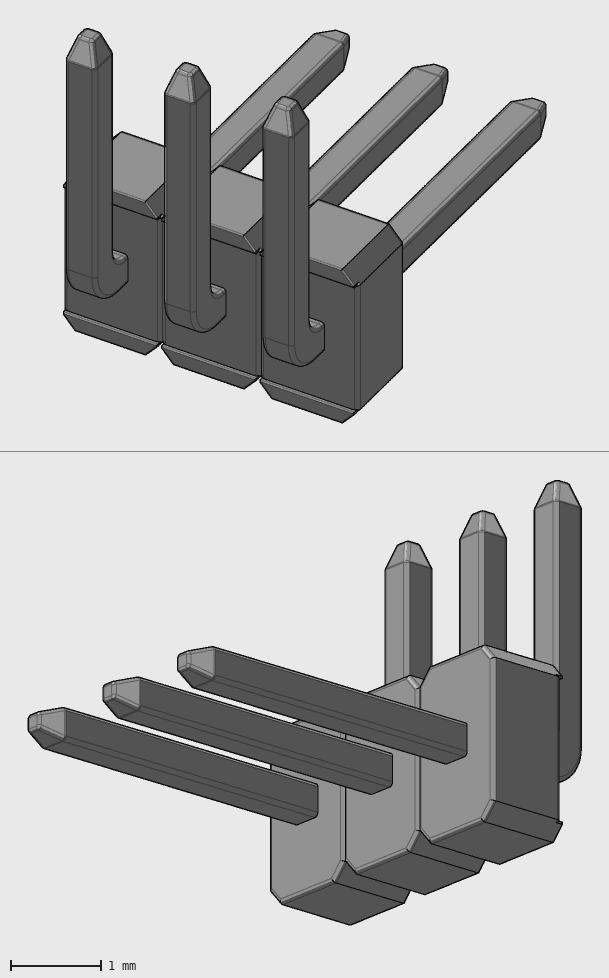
import cadquery as cq


position_count = 3
pitch = 1.27

block_depth = 1.0
block_height = 2.1
chamfer_width = 0.18
chamfer_height = 0.2
lip_depth = 0.05
lip_height = chamfer_height
lip_end_gap = 0.025
lip_edge_radius = 0.015
block_edge_radius = 0.05

pin_width = 0.4
pin_edge_radius = 0.05
mating_length = 4.0
upright_offset = 0.3
pin_top = 4.5
inner_bend_radius = 0.25
outer_bend_radius = 0.5

tip_length = 0.3
tip_width = 0.2
tip_edge_radius = 0.045
shoulder_radius = 0.05

plane_tolerance = 0.001

pin_axis_z = block_height / 2
pin_end_y = block_depth + mating_length
upright_axis_y = -(upright_offset + pin_width / 2)


def octagonal_prism(front_y):
    """Block outline with chamfered corners, from the given front plane to the back of the block."""
    half_width = pitch / 2
    flat_half_width = half_width - chamfer_width
    shoulder_z = block_height - chamfer_height
    return (
        cq.Workplane("XZ", origin=(0, front_y, 0))
        .moveTo(flat_half_width, 0)
        .lineTo(half_width, chamfer_height)
        .lineTo(half_width, shoulder_z)
        .lineTo(flat_half_width, block_height)
        .lineTo(0, block_height)
        .lineTo(0, 0)
        .close()
        .extrude(front_y - block_depth)
        .mirror("YZ", union=True)
        .clean()
    )


def make_lip(base_z):
    """Lip that overhangs the front face and runs back into the block, with a rounded front rim."""
    slab = (
        cq.Workplane("XY")
        .box(pitch - 2 * lip_end_gap, block_depth, lip_height, centered=(True, False, False))
        .translate((0, -lip_depth, base_z))
    )
    lip = octagonal_prism(-lip_depth).intersect(slab)
    return lip.faces("<Y").edges().fillet(lip_edge_radius)


def make_block():
    """Octagonal block with a lip along the top and bottom of its front face."""
    block = octagonal_prism(0).faces("<Y or >Y").edges().fillet(block_edge_radius)
    return block.union(make_lip(0)).union(make_lip(block_height - lip_height))


def make_bent_bar():
    """Square bar with one right-angle bend and rounded long edges, without its tapered ends."""
    half = pin_width / 2
    bar_end_y = pin_end_y - tip_length
    bar_top = pin_top - tip_length
    outer_y = upright_axis_y - half
    inner_y = upright_axis_y + half
    bottom_z = pin_axis_z - half
    top_z = pin_axis_z + half
    bar = (
        cq.Workplane("YZ", origin=(-half, 0, 0))
        .moveTo(bar_end_y, bottom_z)
        .lineTo(outer_y + outer_bend_radius, bottom_z)
        .radiusArc((outer_y, bottom_z + outer_bend_radius), outer_bend_radius)
        .lineTo(outer_y, bar_top)
        .lineTo(inner_y, bar_top)
        .lineTo(inner_y, top_z + inner_bend_radius)
        .radiusArc((inner_y + inner_bend_radius, top_z), -inner_bend_radius)
        .lineTo(bar_end_y, top_z)
        .close()
        .extrude(pin_width)
    )
    long_edges = bar.faces("<X or >X").edges().edges("not(>Y or >Z)")
    return long_edges.fillet(pin_edge_radius)


def make_tip(base_plane):
    """Tapered pin end that grows from the base plane along its normal."""

    def rounded_square(width):
        return cq.Sketch().rect(width, width).vertices().fillet(pin_edge_radius)

    tip = (
        cq.Workplane(base_plane)
        .placeSketch(
            rounded_square(pin_width),
            rounded_square(tip_width).moved(cq.Location(cq.Vector(0, 0, tip_length))),
        )
        .loft()
    )
    end_face = tip.faces(cq.selectors.DirectionMinMaxSelector(base_plane.zDir, True))
    return end_face.edges().fillet(tip_edge_radius)


def is_in_plane(edge, plane):
    """True for an edge that lies wholly in the plane."""
    extent = edge.BoundingBox()
    corners = (
        cq.Vector(extent.xmin, extent.ymin, extent.zmin),
        cq.Vector(extent.xmax, extent.ymax, extent.zmax),
    )
    return all(abs(plane.toLocalCoords(corner).z) < plane_tolerance for corner in corners)


def make_pin():
    """Bent bar with a tapered tip on both ends and a softened shoulder where each taper starts."""
    mating_plane = cq.Plane((0, pin_end_y - tip_length, pin_axis_z), xDir=(1, 0, 0), normal=(0, 1, 0))
    upright_plane = cq.Plane((0, upright_axis_y, pin_top - tip_length), xDir=(1, 0, 0), normal=(0, 0, 1))
    pin = make_bent_bar().union(make_tip(mating_plane)).union(make_tip(upright_plane))
    shoulder_edges = [
        edge
        for edge in pin.edges().vals()
        if is_in_plane(edge, mating_plane) or is_in_plane(edge, upright_plane)
    ]
    return pin.newObject(shoulder_edges).fillet(shoulder_radius)


def make_header_position(index):
    """One block with its pin, placed in the row, which is centred on X = 0."""
    position_x = (index - (position_count - 1) / 2) * pitch
    return make_block().union(make_pin()).translate((position_x, 0, 0))


header_positions = [make_header_position(index) for index in range(position_count)]

result = cq.Compound.makeCompound([position.val() for position in header_positions])